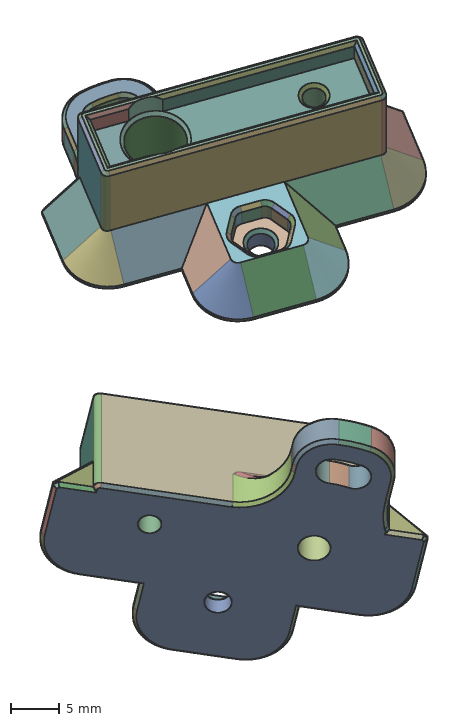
import cadquery as cq
import math

edge_chamfer = 0.4

block_width = 8.65
block_length = 31.35
block_height = 15.0
block_corner_radius = 0.7
rim_flat = 0.35
tray_depth = 2.5
tray_floor = block_height - tray_depth

skirt_top = 5.0
skirt_edge_height = 0.8
skirt_slope_run = skirt_top - skirt_edge_height
skirt_length = 39.7
skirt_right = 8.5
skirt_left = -block_width / 2 + block_corner_radius
skirt_corner_radius = 5.0
skirt_left_chamfer = 0.48
pad_right = 16.87
pad_width = 16.9

pilot_y = 9.0
pilot_radius = 1.25
screw_y = -8.4
screw_radius = 1.7
screw_head_radius = 3.3
screw_seat_z = skirt_top

nut_x = 9.2
nut_across_flats = 5.88
nut_corner_radius = 1.05
nut_chamfer = 0.48
nut_depth = 2.5
nut_hole_radius = 1.43

lug_thickness = 4.0
slot_arc_radius = 10.7
slot_start_angle = 179.0
slot_end_angle = 192.6
slot_middle_angle = (slot_start_angle + slot_end_angle) / 2
slot_half_width = 1.65
lug_half_width = 4.13
lug_cove_radius = 1.5
lug_back_fillet = 5.45
lug_front_flare = 3.85
lug_root_overlap = 0.008
lug_root_x = -block_width / 2 + lug_root_overlap


def chamfer_underside(body):
    return body.faces("<Z").edges().chamfer(edge_chamfer)


def tapered_plate(left, right, width):
    """Rounded plate with a short upright edge and 45 degree sides above it."""
    outline = cq.Sketch().rect(right - left, width).vertices().fillet(skirt_corner_radius)
    base = cq.Workplane("XY", origin=((left + right) / 2, 0, 0))
    edge = base.placeSketch(outline).extrude(skirt_edge_height)
    slope = (
        base.workplane(offset=skirt_edge_height)
        .placeSketch(outline)
        .extrude(skirt_slope_run, taper=45)
    )
    return edge.union(slope)


def make_skirt():
    main = tapered_plate(-2 * skirt_right, skirt_right, skirt_length)
    right_of_left_face = (
        cq.Workplane("XY", origin=(skirt_left, 0, 0))
        .box(skirt_right - skirt_left, skirt_length, skirt_top, centered=(False, True, False))
    )
    main = main.intersect(right_of_left_face)
    main = main.faces("<X").edges("not #Z").chamfer(skirt_left_chamfer)
    pad = tapered_plate(skirt_left, pad_right, pad_width)
    return chamfer_underside(main).union(chamfer_underside(pad))


def make_block():
    block = (
        cq.Workplane("XY")
        .rect(block_width, block_length)
        .extrude(block_height)
        .edges("|Z")
        .fillet(block_corner_radius)
        .faces(">Z")
        .edges()
        .chamfer(edge_chamfer)
    )
    return chamfer_underside(block)


def polar(radius, degrees):
    """Point at a radius and angle about the screw axis."""
    angle = math.radians(degrees)
    return (radius * math.cos(angle), screw_y + radius * math.sin(angle))


def slot_prism():
    """Arc-shaped slot about the screw axis, through the lug thickness."""
    inner = slot_arc_radius - slot_half_width
    outer = slot_arc_radius + slot_half_width
    start_x, start_y = polar(slot_arc_radius, slot_start_angle)
    end_x, end_y = polar(slot_arc_radius, slot_end_angle)
    tip_angle = math.radians(slot_end_angle + 90)
    end_tip = (
        end_x + slot_half_width * math.cos(tip_angle),
        end_y + slot_half_width * math.sin(tip_angle),
    )
    return (
        cq.Workplane("XY")
        .moveTo(*polar(inner, slot_start_angle))
        .threePointArc((start_x, start_y + slot_half_width), polar(outer, slot_start_angle))
        .threePointArc(polar(outer, slot_middle_angle), polar(outer, slot_end_angle))
        .threePointArc(end_tip, polar(inner, slot_end_angle))
        .threePointArc(polar(inner, slot_middle_angle), polar(inner, slot_start_angle))
        .close()
        .extrude(lug_thickness)
    )


def make_lug():
    outer_radius = slot_arc_radius + lug_half_width
    back_x, back_y = polar(slot_arc_radius, slot_start_angle)
    front_x, front_y = polar(slot_arc_radius, slot_end_angle)
    diagonal = lug_half_width * math.sqrt(0.5)
    back_edge = back_y + lug_half_width
    front_edge = front_y - lug_half_width
    front_root = -block_length / 2 + lug_root_overlap
    fillet_x = lug_root_x - lug_back_fillet
    fillet_mid = lug_back_fillet * math.sqrt(0.5)
    front_mid_angle = math.radians((slot_end_angle + 270) / 2)
    front_mid = (
        front_x + lug_half_width * math.cos(front_mid_angle),
        front_y + lug_half_width * math.sin(front_mid_angle),
    )
    plan = (
        cq.Workplane("XY")
        .moveTo(0, back_edge + lug_back_fillet)
        .lineTo(lug_root_x, back_edge + lug_back_fillet)
        .threePointArc(
            (fillet_x + fillet_mid, back_edge + lug_back_fillet - fillet_mid), (fillet_x, back_edge)
        )
        .lineTo(back_x, back_edge)
        .threePointArc((back_x - diagonal, back_y + diagonal), polar(outer_radius, slot_start_angle))
        .threePointArc(polar(outer_radius, slot_middle_angle), polar(outer_radius, slot_end_angle))
        .threePointArc(front_mid, (front_x, front_edge))
        .lineTo(skirt_left - lug_front_flare, front_edge)
        .tangentArcPoint((skirt_left + lug_root_overlap, front_root), relative=False)
        .lineTo(0, front_root)
        .close()
        .extrude(lug_thickness + lug_cove_radius)
    )
    cove_x = lug_root_x - lug_cove_radius
    cove_z = lug_thickness + lug_cove_radius
    cove_mid = lug_cove_radius * math.sqrt(0.5)
    profile = (
        cq.Workplane("XZ")
        .moveTo(-2 * outer_radius, 0)
        .lineTo(-2 * outer_radius, lug_thickness)
        .lineTo(cove_x, lug_thickness)
        .threePointArc((cove_x + cove_mid, cove_z - cove_mid), (lug_root_x, cove_z))
        .lineTo(0, cove_z)
        .lineTo(0, 0)
        .close()
        .extrude(block_length, both=True)
    )
    lug = chamfer_underside(plan.intersect(profile)).cut(slot_prism())
    return lug.faces("+Z").faces("<Z").edges("not |Y").chamfer(edge_chamfer)


def frustum(x, y, bottom_radius, top_radius, bottom, top):
    """Cutter that widens evenly from its bottom radius to its top radius."""
    return cq.Workplane(
        cq.Solid.makeCone(bottom_radius, top_radius, top - bottom, pnt=cq.Vector(x, y, bottom))
    )


def cylinder(x, y, radius, bottom, top):
    return cq.Workplane("XY", origin=(x, y, bottom)).circle(radius).extrude(top - bottom)


def chamfered_hole(x, y, radius, bottom, top):
    """Round cutter with a chamfered mouth at its top."""
    mouth = frustum(x, y, radius, radius + edge_chamfer, top - edge_chamfer, top)
    return cylinder(x, y, radius, bottom, top).union(mouth)


def make_tray():
    rim = edge_chamfer + rim_flat
    mouth_width = block_width - 2 * rim
    mouth_length = block_length - 2 * rim
    top = cq.Workplane("XY", origin=(0, 0, block_height))
    mouth = top.rect(mouth_width, mouth_length).extrude(-edge_chamfer, taper=45)
    well = top.rect(mouth_width - 2 * edge_chamfer, mouth_length - 2 * edge_chamfer).extrude(-tray_depth)
    return mouth.union(well)


def make_screw_bore():
    """Screw hole, head recess and the wider clearance cut into the tray walls."""
    bore = chamfered_hole(0, screw_y, screw_head_radius, screw_seat_z, tray_floor)
    clearance = cylinder(0, screw_y, screw_head_radius + edge_chamfer, tray_floor, block_height)
    return cylinder(0, screw_y, screw_radius, 0, screw_seat_z).union(bore).union(clearance)


def hexagon(across_flats, corner_radius):
    """Rounded hexagon with two of its flats facing along X."""
    across_corners = across_flats / math.cos(math.radians(30))
    return cq.Sketch().regularPolygon(across_corners / 2, 6).vertices().fillet(corner_radius)


def make_nut_pocket():
    nut_floor = skirt_top - nut_depth
    pocket = (
        cq.Workplane("XY", origin=(nut_x, 0, nut_floor))
        .placeSketch(hexagon(nut_across_flats, nut_corner_radius))
        .extrude(nut_depth)
    )
    mouth = (
        cq.Workplane("XY", origin=(nut_x, 0, skirt_top))
        .placeSketch(hexagon(nut_across_flats + 2 * nut_chamfer, nut_corner_radius + nut_chamfer))
        .extrude(-nut_chamfer, taper=45)
    )
    return pocket.union(mouth).union(chamfered_hole(nut_x, 0, nut_hole_radius, 0, nut_floor))


result = (
    make_block()
    .union(make_skirt())
    .union(make_lug())
    .cut(make_tray())
    .cut(chamfered_hole(0, pilot_y, pilot_radius, 0, tray_floor))
    .cut(make_screw_bore())
    .cut(make_nut_pocket())
)